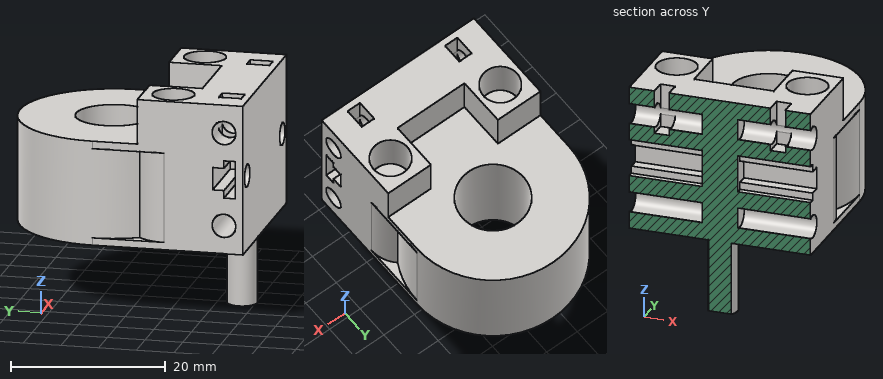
import cadquery as cq

width = 25.0
half_width = width / 2
ring_radius = half_width
length = 32.5
ring_center_y = length - ring_radius
ring_height = 14.0
block_height = 20.0
block_depth = 14.0
bore_diameter = 10.0

notch_width = 11.0
notch_front_y = 7.0

flange_thickness = 1.0
relief_front_y = 10.45
shoulder_radius = 4.88

tower_hole_diameter = 5.5
tower_hole_x = 9.0
tower_hole_y = 10.0
tower_hole_depth = block_height - ring_height

nut_slot_x = 8.0
nut_slot_width = 2.0
slot_front_y = 1.0
slot_back_y = 4.0

screw_hole_x = 10.0
screw_hole_diameter = 3.0
screw_hole_z = block_height / 2

cross_hole_diameter = 3.12
cross_hole_y = 2.5
cross_hole_offset_z = 6.25
t_wide_height = 5.0
t_narrow_height = 3.0
side_opening_depth = 10.0

cable_diameter = 4.0
cable_length = 10.0
cable_y = 3.0


def box(x_range, y_range, z_range):
    """Axis-aligned box given by its (low, high) limits."""
    sizes = [high - low for low, high in (x_range, y_range, z_range)]
    corner = (x_range[0], y_range[0], z_range[0])
    return cq.Workplane("XY").box(*sizes, centered=False).translate(corner)


def make_block():
    block = box((-half_width, half_width), (0, block_depth), (0, block_height))
    notch = box(
        (-notch_width / 2, notch_width / 2),
        (notch_front_y, block_depth),
        (ring_height, block_height),
    )
    return block.cut(notch)


def make_ring():
    plate = box((-half_width, half_width), (0, ring_center_y), (0, ring_height))
    disc = cq.Workplane("XY").center(0, ring_center_y).circle(ring_radius).extrude(ring_height)
    return plate.union(disc)


def make_side_reliefs():
    """Pockets between the flanges, leaving the round ring wall and a rounded shoulder."""
    relief_height = ring_height - 2 * flange_thickness
    base = cq.Workplane("XY").workplane(offset=flange_thickness)
    relief = box(
        (-half_width, half_width),
        (relief_front_y, ring_center_y),
        (flange_thickness, ring_height - flange_thickness),
    )
    ring_wall = base.center(0, ring_center_y).circle(ring_radius).extrude(relief_height)
    shoulder_x = half_width - shoulder_radius
    shoulders = (
        base.pushPoints([(-shoulder_x, relief_front_y), (shoulder_x, relief_front_y)])
        .circle(shoulder_radius)
        .extrude(relief_height)
    )
    return relief.cut(ring_wall).cut(shoulders)


def make_tower_holes():
    return (
        cq.Workplane("XY")
        .workplane(offset=block_height)
        .pushPoints([(-tower_hole_x, tower_hole_y), (tower_hole_x, tower_hole_y)])
        .circle(tower_hole_diameter / 2)
        .extrude(-tower_hole_depth)
    )


def make_nut_slot(x):
    return box(
        (x - nut_slot_width / 2, x + nut_slot_width / 2),
        (slot_front_y, slot_back_y),
        (ring_height, block_height),
    )


def make_screw_holes():
    """Holes from the front face that end at the back of the T-shaped slots."""
    return (
        cq.Workplane("XZ")
        .pushPoints([(-screw_hole_x, screw_hole_z), (screw_hole_x, screw_hole_z)])
        .circle(screw_hole_diameter / 2)
        .extrude(-slot_back_y)
    )


def make_cross_holes(start_x):
    low_z = block_height / 2 - cross_hole_offset_z
    high_z = block_height / 2 + cross_hole_offset_z
    return (
        cq.Workplane("YZ")
        .workplane(offset=start_x)
        .pushPoints([(cross_hole_y, low_z), (cross_hole_y, high_z)])
        .circle(cross_hole_diameter / 2)
        .extrude(side_opening_depth)
    )


def make_t_slot(start_x):
    middle_y = (slot_front_y + slot_back_y) / 2
    middle_z = block_height / 2
    x_range = (start_x, start_x + side_opening_depth)
    wide = box(
        x_range,
        (slot_front_y, middle_y),
        (middle_z - t_wide_height / 2, middle_z + t_wide_height / 2),
    )
    narrow = box(
        x_range,
        (slot_front_y, slot_back_y),
        (middle_z - t_narrow_height / 2, middle_z + t_narrow_height / 2),
    )
    return wide.union(narrow)


def make_cable():
    return cq.Workplane("XY").center(0, cable_y).circle(cable_diameter / 2).extrude(-cable_length)


body = make_block().union(make_ring())
bore = cq.Workplane("XY").center(0, ring_center_y).circle(bore_diameter / 2).extrude(ring_height)
body = body.cut(bore)
body = body.cut(make_side_reliefs())
body = body.cut(make_tower_holes())
for side in (-1, 1):
    body = body.cut(make_nut_slot(side * nut_slot_x))
body = body.cut(make_screw_holes())
for start_x in (-half_width, half_width - side_opening_depth):
    body = body.cut(make_cross_holes(start_x))
    body = body.cut(make_t_slot(start_x))

result = body.union(make_cable())